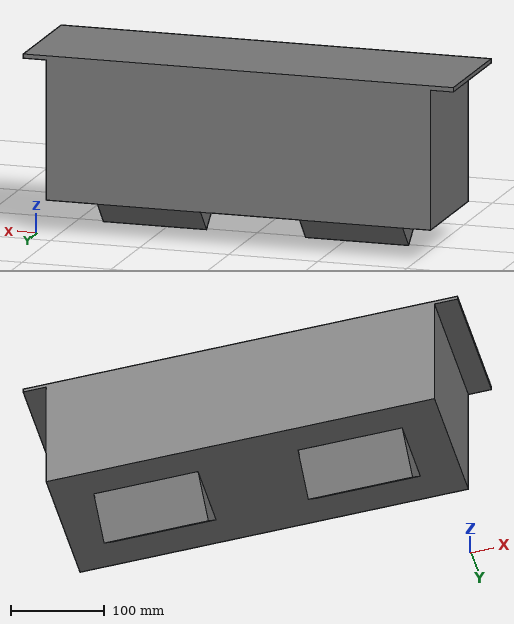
import cadquery as cq

plate_length = 483.0
depth = 133.5
total_height = 194.5

plate_thickness = 5.0
body_length = 432.0
wedge_height = 35.5
body_height = total_height - plate_thickness - wedge_height

wedge_length = 116.0
wedge_spacing = 227.0
wedge_front_y = -36.0
wedge_back_y = 35.0
wedge_apex_y = 4.5

body = cq.Workplane("XY").box(body_length, depth, body_height, centered=(True, True, False))
plate = (
    cq.Workplane("XY")
    .workplane(offset=body_height)
    .box(plate_length, depth, plate_thickness, centered=(True, True, False))
)


def wedge(center_x):
    """Triangular prism along X with its edge pointing down."""
    return (
        cq.Workplane("YZ")
        .workplane(offset=center_x - wedge_length / 2)
        .moveTo(wedge_front_y, 0)
        .lineTo(wedge_back_y, 0)
        .lineTo(wedge_apex_y, -wedge_height)
        .close()
        .extrude(wedge_length)
    )


result = body.union(plate)
for side in (-1, 1):
    result = result.union(wedge(side * wedge_spacing / 2))